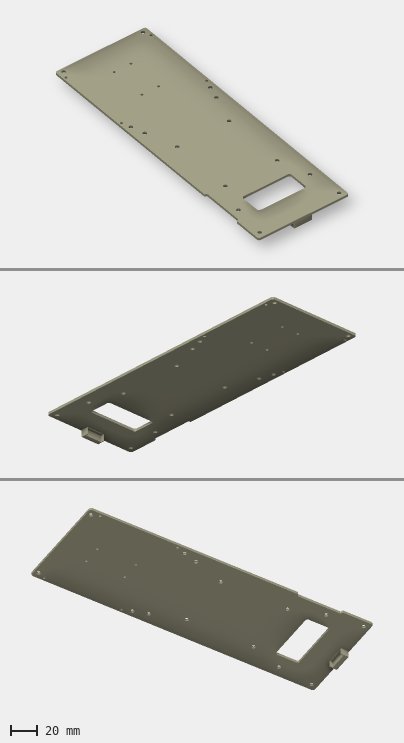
import cadquery as cq

length = 245.5
width = 85.0
thickness = 2.2
corner_radius = 2.0

large_hole_diameter = 3.5
large_hole_pairs = [
    ((3.7, 85.0, 240.5), 37.3),
    ((97.0, 210.0), 33.6),
    ((124.3, 182.2), 24.3),
]
small_hole_diameter = 2.2
small_hole_pairs = [
    ((10.0, 77.0), 40.0),
    ((27.0, 60.5), 7.9),
]

window_center_x = 210.0
window_length = 20.1
window_width = 45.2
window_corner_radius = 2.0

notch_start = 180.8
notch_end = 218.8
notch_depth = 2.0
notch_corner_radius = 0.85

total_height = 8.0
block_height = total_height - thickness
block_length = 6.5
block_width = 16.7
block_end_inset = 0.7

recess_side_wall = 0.7
recess_top_wall = 0.5
recess_depth = 2.5


def drill_pairs(body, pairs, diameter):
    """Drill every hole and its mirror image through the plate."""
    points = [(x, side * offset) for xs, offset in pairs for x in xs for side in (-1, 1)]
    return body.cut(cq.Workplane("XY").pushPoints(points).circle(diameter / 2).extrude(thickness))


def make_window():
    return (
        cq.Workplane("XY")
        .center(window_center_x, 0)
        .rect(window_length, window_width)
        .extrude(thickness)
        .edges("|Z")
        .fillet(window_corner_radius)
    )


def cut_notch(body):
    """Cut the notch and round its two inner and two outer corners."""
    front = -width / 2
    notch_length = notch_end - notch_start
    notch = (
        cq.Workplane("XY")
        .center((notch_start + notch_end) / 2, front)
        .rect(notch_length, 2 * notch_depth)
        .extrude(thickness)
    )
    body = body.cut(notch)
    margin = notch_depth / 2
    corner_zone = cq.selectors.BoxSelector(
        (notch_start - margin, front - margin, -margin),
        (notch_end + margin, front + notch_depth + margin, thickness + margin),
    )
    return body.edges("|Z").edges(corner_zone).fillet(notch_corner_radius)


def make_block():
    block_start = length - block_end_inset - block_length
    block = cq.Workplane("XY").box(block_length, block_width, block_height, centered=(False, True, False))
    recess = cq.Workplane("XY").box(
        recess_depth,
        block_width - 2 * recess_side_wall,
        block_height - recess_top_wall,
        centered=(False, True, False),
    )
    return block.cut(recess).translate((block_start, 0, -block_height))


plate = (
    cq.Workplane("XY")
    .center(length / 2, 0)
    .rect(length, width)
    .extrude(thickness)
    .edges("|Z")
    .fillet(corner_radius)
)
plate = cut_notch(plate)
plate = drill_pairs(plate, large_hole_pairs, large_hole_diameter)
plate = drill_pairs(plate, small_hole_pairs, small_hole_diameter)
plate = plate.cut(make_window())

result = plate.union(make_block())